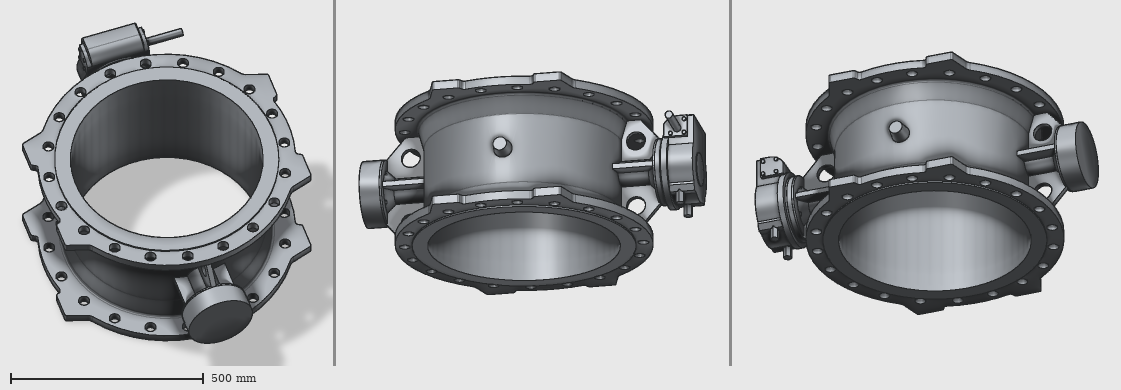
import cadquery as cq
import math

BODY_LENGTH = 350.0
BORE_RADIUS = 500.0 / 2
BODY_RADIUS = 520.5 / 2
RAISED_FACE_RADIUS = 582.0 / 2
RAISED_FACE_HEIGHT = 4.5
FLANGE_RADIUS = 670.0 / 2
FLANGE_THICKNESS = 23.0
NECK_START_Z = 94.5
NECK_RADIUS = 273.5
NECK_FILLET = 6.5

HALF_LENGTH = BODY_LENGTH / 2
FLANGE_OUTER_Z = HALF_LENGTH - RAISED_FACE_HEIGHT
FLANGE_INNER_Z = FLANGE_OUTER_Z - FLANGE_THICKNESS

BOLT_COUNT = 20
BOLT_HOLE_DIAMETER = 28.0
BOLT_CIRCLE_RADIUS = 620.0 / 2
FOOT_REACH = 676.0 / 2
FOOT_OUTER_X = 170.0
FOOT_INNER_X = 100.0
FOOT_OUTER_ROOT = (191.0, 273.0)
FOOT_INNER_ROOT = (89.0, 318.0)
FOOT_TIP_FILLET = 6.0
FOOT_OUTER_ROOT_FILLET = 20.0
FOOT_INNER_ROOT_FILLET = 8.0
ROOT_EDGE_X_TOLERANCE = 15.0
ROOT_EDGE_RIM_TOLERANCE = 1.0

PIN_ROOT_RADIUS = 50.0 / 2
PIN_TIP_RADIUS = 36.0 / 2
PIN_ROOT_Y = 255.0
PIN_TIP_Y = 298.0

SHAFT_Y = 2.5
HUB_RADIUS = 36.0
HUB_CONE_START_X = 338.0
HUB_CONE_END_RADIUS = 58.0
BEARING_FACE_X = 360.5
BEARING_FLANGE_RADIUS = 173.0 / 2
BEARING_FLANGE_THICKNESS = 5.0
BEARING_DISC_RADIUS = 175.0 / 2
SPOTFACE_CIRCLE_RADIUS = 125.0 / 2
SPOTFACE_DIAMETER = 19.0
SPOTFACE_COUNT = 4
RIB_THICKNESS = 14.0
LEVEL_RIB_WIDTH = 140.0
LEVEL_RIB_START_X = 245.0
WEB_TOP_X = 313.0
WEB_HOLE_X = 299.0
WEB_HOLE_Z = 90.0
WEB_HOLE_DIAMETER = 50.0
ROOT_X = 255.0
CAP_END_X = 419.0

GEAR_FLANGE_RADIUS = 200.0 / 2
GEAR_FLANGE_X = -384.0
GEAR_FLANGE_THICKNESS = 16.0
GEAR_SPIGOT_RADIUS = 173.0 / 2
GEAR_SPIGOT_HEIGHT = 5.5
GEAR_FACE_X = -466.0
GEAR_CASE_RADIUS = 175.0 / 2
GEAR_CASE_BACK_X = GEAR_FLANGE_X - GEAR_FLANGE_THICKNESS
GEAR_HEAD_HALF_WIDTH = 74.5
GEAR_HEAD_TOP_Z = 126.0
GEAR_HEAD_BACK_X = -389.5
GEAR_HEAD_ROUND_START_X = -428.0
GEAR_HEAD_ROUND_END_Z = 100.0
GEAR_HEAD_EDGE_CHAMFER = 3.0
INDICATOR_RADIUS = 88.0 / 2
INDICATOR_HEIGHT = 2.4

GEAR_BASE_HALF_WIDTH = 66.5
GEAR_BASE_TOP_Z = -50.0
GEAR_BASE_BOTTOM_Z = -79.0
GEAR_BASE_SIDE_END_Z = -63.0
GEAR_BASE_FOOT_HALF_WIDTH = 57.5

COVER_FACE_Y = 85.0
COVER_FRONT_X = -451.0
COVER_TOP_Z = 121.5
COVER_BOTTOM_Z = 65.5
SCREW_HEAD_DIAMETER = 10.0
SCREW_HEAD_HEIGHT = 4.0
SCREW_XS = (-444.0, -408.0)
SCREW_ZS = (110.0, 73.0)

INPUT_X = -425.5
INPUT_SHAFT_DIAMETER = 20.0
INPUT_SHAFT_Z = 86.0
INPUT_SHAFT_END_Y = 190.0
STOP_BOLT_FLATS = 20.0
STOP_BOLT_SPACING = 98.5
STOP_BOLT_END_Z = -108.0


def box_between(x_range, y_range, z_range):
    """Axis-aligned box from its limits along X, Y and Z."""
    size = [high - low for low, high in (x_range, y_range, z_range)]
    corner = (x_range[0], y_range[0], z_range[0])
    return cq.Workplane("XY").box(*size, centered=False).translate(corner)


def shaft_cylinder(radius, start_x, end_x):
    """Cylinder on the shaft axis between two X positions."""
    plane = cq.Workplane("YZ", origin=(start_x, SHAFT_Y, 0))
    return plane.circle(radius).extrude(end_x - start_x)


def mirrored_pair(shape, plane):
    """The shape joined with its mirror image in the given plane."""
    return shape.union(shape.mirror(plane))


def make_barrel():
    """Solid of revolution of the wall, flares and raised faces, without the bore."""
    upper = (
        cq.Workplane("XZ")
        .moveTo(0, 0)
        .lineTo(BODY_RADIUS, 0)
        .lineTo(BODY_RADIUS, NECK_START_Z)
        .lineTo(NECK_RADIUS, FLANGE_INNER_Z - NECK_FILLET)
        .radiusArc((NECK_RADIUS + NECK_FILLET, FLANGE_INNER_Z), NECK_FILLET)
        .lineTo(RAISED_FACE_RADIUS, FLANGE_INNER_Z)
        .lineTo(RAISED_FACE_RADIUS, HALF_LENGTH)
        .lineTo(0, HALF_LENGTH)
        .close()
        .revolve(360, (0, 0, 0), (0, 1, 0))
    )
    return mirrored_pair(upper, "XY")


def make_foot():
    """Foot of a flange in the +X +Y quadrant, reaching inward under the rim."""
    outline = [
        FOOT_OUTER_ROOT,
        (FOOT_OUTER_X, FOOT_REACH),
        (FOOT_INNER_X, FOOT_REACH),
        FOOT_INNER_ROOT,
    ]
    foot = cq.Workplane("XY").polyline(outline).close().extrude(FLANGE_THICKNESS)
    return foot.edges("|Z and >Y").fillet(FOOT_TIP_FILLET)


def root_edges(flange, near_x):
    """Upright edges where the feet meet the rim, at about the given distance from X = 0."""
    return flange.edges("|Z").filter(
        lambda edge: abs(abs(edge.Center().x) - near_x) < ROOT_EDGE_X_TOLERANCE
        and abs(math.hypot(edge.Center().x, edge.Center().y) - FLANGE_RADIUS) < ROOT_EDGE_RIM_TOLERANCE
    )


def make_flange():
    """Flange plate with four feet and the ring of bolt holes, standing on Z = 0."""
    feet = mirrored_pair(mirrored_pair(make_foot(), "YZ"), "XZ")
    flange = cq.Workplane("XY").circle(FLANGE_RADIUS).extrude(FLANGE_THICKNESS).union(feet)
    flange = root_edges(flange, FOOT_OUTER_ROOT[0]).fillet(FOOT_OUTER_ROOT_FILLET)
    flange = root_edges(flange, FOOT_INNER_ROOT[0]).fillet(FOOT_INNER_ROOT_FILLET)
    half_pitch = 180.0 / BOLT_COUNT
    holes = (
        cq.Workplane("XY")
        .polarArray(BOLT_CIRCLE_RADIUS, half_pitch, 360, BOLT_COUNT)
        .circle(BOLT_HOLE_DIAMETER / 2)
        .extrude(FLANGE_THICKNESS)
    )
    return flange.cut(holes)


def make_pin():
    """Tapered lifting pin on the -Y side."""
    return (
        cq.Workplane("XY")
        .moveTo(0, -PIN_ROOT_Y)
        .lineTo(PIN_ROOT_RADIUS, -PIN_ROOT_Y)
        .lineTo(PIN_TIP_RADIUS, -PIN_TIP_Y)
        .lineTo(0, -PIN_TIP_Y)
        .close()
        .revolve(360, (0, 0, 0), (0, 1, 0))
    )


def make_bearing(end_x):
    """Shaft bearing on the +X side: hub, cone, flange, end disc, upright web and level rib."""
    hub = (
        cq.Workplane("XY", origin=(0, SHAFT_Y, 0))
        .moveTo(ROOT_X, 0)
        .lineTo(ROOT_X, HUB_RADIUS)
        .lineTo(HUB_CONE_START_X, HUB_RADIUS)
        .lineTo(BEARING_FACE_X, HUB_CONE_END_RADIUS)
        .lineTo(BEARING_FACE_X, 0)
        .close()
        .revolve(360, (0, 0, 0), (1, 0, 0))
    )
    spotfaces = (
        cq.Workplane("YZ", origin=(HUB_CONE_START_X, SHAFT_Y, 0))
        .polarArray(SPOTFACE_CIRCLE_RADIUS, 180.0 / SPOTFACE_COUNT, 360, SPOTFACE_COUNT)
        .circle(SPOTFACE_DIAMETER / 2)
        .extrude(BEARING_FACE_X - HUB_CONE_START_X)
    )
    hub = hub.cut(spotfaces)

    disc_start_x = BEARING_FACE_X + BEARING_FLANGE_THICKNESS
    flange = shaft_cylinder(BEARING_FLANGE_RADIUS, BEARING_FACE_X, disc_start_x)
    disc = shaft_cylinder(BEARING_DISC_RADIUS, disc_start_x, end_x)
    web_outline = [
        (ROOT_X, FLANGE_INNER_Z),
        (WEB_TOP_X, FLANGE_INNER_Z),
        (disc_start_x, BEARING_FLANGE_RADIUS),
        (disc_start_x, -BEARING_FLANGE_RADIUS),
        (WEB_TOP_X, -FLANGE_INNER_Z),
        (ROOT_X, -FLANGE_INNER_Z),
    ]
    web_plane = cq.Workplane("XZ", origin=(0, SHAFT_Y, 0))
    web = web_plane.polyline(web_outline).close().extrude(RIB_THICKNESS / 2, both=True)
    web_holes = (
        web_plane.pushPoints([(WEB_HOLE_X, WEB_HOLE_Z), (WEB_HOLE_X, -WEB_HOLE_Z)])
        .circle(WEB_HOLE_DIAMETER / 2)
        .extrude(RIB_THICKNESS, both=True)
    )
    half_width = LEVEL_RIB_WIDTH / 2
    level_rib = box_between(
        (LEVEL_RIB_START_X, BEARING_FACE_X),
        (SHAFT_Y - half_width, SHAFT_Y + half_width),
        (-RIB_THICKNESS / 2, RIB_THICKNESS / 2),
    )
    return hub.union(flange).union(disc).union(web.cut(web_holes)).union(level_rib)


def make_head_block(front_x, top_z, bottom_z, half_width):
    """Block with the rounded upper back corner shared by the gear head and its covers."""
    round_start = (GEAR_HEAD_ROUND_START_X, top_z)
    round_end = (GEAR_HEAD_BACK_X, GEAR_HEAD_ROUND_END_Z)
    return (
        cq.Workplane("XZ", origin=(0, SHAFT_Y, 0))
        .moveTo(front_x, bottom_z)
        .lineTo(front_x, top_z)
        .lineTo(*round_start)
        .tangentArcPoint(round_end, relative=False)
        .lineTo(GEAR_HEAD_BACK_X, bottom_z)
        .close()
        .extrude(half_width, both=True)
    )


def make_gear_base():
    """Block under the gear case that holds the stop bolts, narrowing downward."""
    outline = [
        (-GEAR_BASE_HALF_WIDTH, GEAR_BASE_TOP_Z),
        (-GEAR_BASE_HALF_WIDTH, GEAR_BASE_SIDE_END_Z),
        (-GEAR_BASE_FOOT_HALF_WIDTH, GEAR_BASE_BOTTOM_Z),
        (GEAR_BASE_FOOT_HALF_WIDTH, GEAR_BASE_BOTTOM_Z),
        (GEAR_BASE_HALF_WIDTH, GEAR_BASE_SIDE_END_Z),
        (GEAR_BASE_HALF_WIDTH, GEAR_BASE_TOP_Z),
    ]
    plane = cq.Workplane("YZ", origin=(GEAR_FACE_X, SHAFT_Y, 0))
    return plane.polyline(outline).close().extrude(GEAR_CASE_BACK_X - GEAR_FACE_X)


def make_gear_case():
    """Round gear case with mounting flange, indicator disc, head and base."""
    flange = shaft_cylinder(GEAR_FLANGE_RADIUS, GEAR_CASE_BACK_X, GEAR_FLANGE_X)
    spigot = shaft_cylinder(GEAR_SPIGOT_RADIUS, GEAR_FLANGE_X, GEAR_FLANGE_X + GEAR_SPIGOT_HEIGHT)
    case = shaft_cylinder(GEAR_CASE_RADIUS, GEAR_FACE_X, GEAR_CASE_BACK_X)
    indicator = shaft_cylinder(INDICATOR_RADIUS, GEAR_FACE_X - INDICATOR_HEIGHT, GEAR_FACE_X)
    head = make_head_block(GEAR_FACE_X, GEAR_HEAD_TOP_Z, COVER_BOTTOM_Z, GEAR_HEAD_HALF_WIDTH)
    head = head.faces(">Z").edges("|X").chamfer(GEAR_HEAD_EDGE_CHAMFER)
    head_y = (SHAFT_Y - GEAR_HEAD_HALF_WIDTH, SHAFT_Y + GEAR_HEAD_HALF_WIDTH)
    head_root = box_between((GEAR_FACE_X, GEAR_CASE_BACK_X), head_y, (0, COVER_BOTTOM_Z))
    gear_case = flange
    for piece in (spigot, case, indicator, head, head_root, make_gear_base()):
        gear_case = gear_case.union(piece)
    return gear_case


def make_side_covers():
    """Covers on both sides of the gear head, each held by four screws."""
    covers = make_head_block(COVER_FRONT_X, COVER_TOP_Z, COVER_BOTTOM_Z, COVER_FACE_Y)
    screw_centres = [(x, z) for x in SCREW_XS for z in SCREW_ZS]
    screws = (
        cq.Workplane("XZ", origin=(0, SHAFT_Y, 0))
        .pushPoints(screw_centres)
        .circle(SCREW_HEAD_DIAMETER / 2)
        .extrude(COVER_FACE_Y + SCREW_HEAD_HEIGHT, both=True)
    )
    return covers.union(screws)


def make_input_shaft():
    """Input shaft leaving the gear head on the +Y side."""
    plane = cq.Workplane("XZ", origin=(INPUT_X, SHAFT_Y, INPUT_SHAFT_Z))
    return plane.circle(INPUT_SHAFT_DIAMETER / 2).extrude(SHAFT_Y - INPUT_SHAFT_END_Y)


def make_stop_bolts():
    """Two hexagonal stop bolts under the gear case, flats facing along X."""
    across_corners = STOP_BOLT_FLATS / math.cos(math.pi / 6)
    half_spacing = STOP_BOLT_SPACING / 2
    return (
        cq.Workplane("XY", origin=(INPUT_X, SHAFT_Y, STOP_BOLT_END_Z))
        .transformed(rotate=(0, 0, 90))
        .pushPoints([(-half_spacing, 0), (half_spacing, 0)])
        .polygon(6, across_corners)
        .extrude(GEAR_BASE_TOP_Z - STOP_BOLT_END_Z)
    )


flange = make_flange()
body = make_barrel()
body = body.union(flange.translate((0, 0, FLANGE_INNER_Z)))
body = body.union(flange.translate((0, 0, -FLANGE_OUTER_Z)))
body = body.union(mirrored_pair(make_pin(), "XZ"))
body = body.union(make_bearing(CAP_END_X))
body = body.union(make_bearing(-GEAR_FLANGE_X - GEAR_SPIGOT_HEIGHT).mirror("YZ"))
bore = cq.Workplane("XY").circle(BORE_RADIUS).extrude(HALF_LENGTH, both=True)
body = body.cut(bore)

for gearbox_part in (make_gear_case(), make_side_covers(), make_input_shaft(), make_stop_bolts()):
    body = body.union(gearbox_part)

result = body